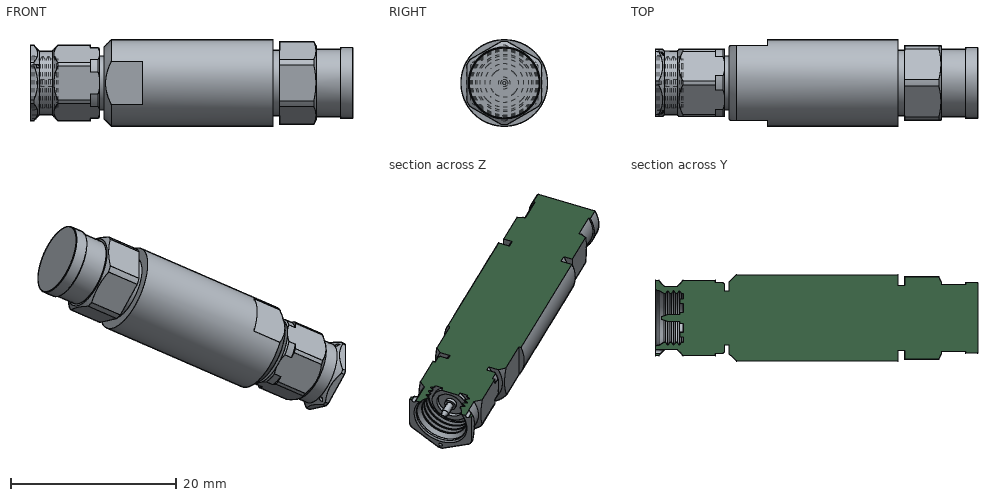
import cadquery as cq
import math

LENGTH = 39.05

COLLAR_FLAT_END = 0.43
COLLAR_END = 1.1
NUT_NECK_RADIUS = 3.85

NUT_FLATS = 8.15
NUT_CORNER_RADIUS = 4.55
NUT_START = 2.65
NUT_TAPER_END = 3.3
NUT_STEP_X = 7.25
NUT_STEP_RADIUS = 4.3
NUT_END = 8.4
NUT_END_CHAMFER = 0.2

WIRE_HOLE_RADIUS = 0.215
WIRE_HOLE_CIRCLE_RADIUS = 4.05
WIRE_HOLE_ANGLES = (30, 150, 270)

BARREL_START = 8.9
BARREL_DIAMETER = 10.5
BARREL_RADIUS = BARREL_DIAMETER / 2
BARREL_CHAMFER = 0.9
BARREL_END = 29.35
BARREL_FLATS = 9.1
BARREL_FLAT_END = 13.55
FRONT_NECK_RADIUS = 3.28

REAR_NECK_RADIUS = 4.0
REAR_HEX_START = 30.15
REAR_HEX_END = 34.65
REAR_HEX_FLATS = 9.05
REAR_HEX_CORNER_DIAMETER = 10.05
REAR_HEX_CORNER_RADIUS = REAR_HEX_CORNER_DIAMETER / 2
REAR_HEX_TAPER_LENGTH = 0.35
REAR_HEX_TAPER_DROP = 0.65
SLEEVE_RADIUS = 4.1
RIM_START = 37.53
RIM_RADIUS = 4.3
RIM_CHAMFER = 0.08

MOUTH_RADIUS = 3.48
MOUTH_CHAMFER = 0.2
LEAD_IN_START = 0.45
THREAD_START = 1.05
THREAD_CREST_RADIUS = 2.93
THREAD_DEPTH = 0.35
THREAD_PITCH = 0.7
THREAD_CREST_WIDTH = 0.2
THREAD_GROOVES = 3
SOCKET_DEPTH = THREAD_START + THREAD_GROOVES * THREAD_PITCH + THREAD_CREST_WIDTH

CONTACT_SLEEVE_START = 2.93
CONTACT_SLEEVE_RADIUS = 2.35
CONTACT_BORE_RADIUS = 1.7

PIN_START = 0.75
PIN_TIP_RADIUS = 0.2
PIN_SHOULDER = 1.4
PIN_RADIUS = 0.43
PIN_BASE_START = 2.93
PIN_BASE_RADIUS = 0.7


def revolve_profile(points):
    """Turn a list of (x, radius) points into a solid around the X axis."""
    closed = [(points[0][0], 0)] + points + [(points[-1][0], 0)]
    return cq.Workplane("XZ").polyline(closed).close().revolve(360, (0, 0, 0), (1, 0, 0))


def hex_bar(start, end, flats):
    """Hexagonal bar along X with two faces square to Y and corners on the Z axis."""
    corner_diameter = flats / math.cos(math.pi / 6)
    bar = cq.Workplane("YZ", origin=(start, 0, 0)).polygon(6, corner_diameter).extrude(end - start)
    return bar.rotate((0, 0, 0), (1, 0, 0), 30)


def cylinder(start, end, radius):
    return revolve_profile([(start, radius), (end, radius)])


def front_nut():
    blank = revolve_profile([
        (0, NUT_CORNER_RADIUS),
        (COLLAR_FLAT_END, NUT_CORNER_RADIUS),
        (COLLAR_END, NUT_NECK_RADIUS),
        (NUT_START, NUT_NECK_RADIUS),
        (NUT_TAPER_END, NUT_CORNER_RADIUS),
        (NUT_STEP_X, NUT_CORNER_RADIUS),
        (NUT_STEP_X, NUT_STEP_RADIUS),
        (NUT_END - NUT_END_CHAMFER, NUT_STEP_RADIUS),
        (NUT_END, NUT_STEP_RADIUS - NUT_END_CHAMFER),
    ])
    nut = blank.intersect(hex_bar(0, NUT_END, NUT_FLATS))
    for angle in WIRE_HOLE_ANGLES:
        hole = cylinder(0, COLLAR_END, WIRE_HOLE_RADIUS).translate((0, WIRE_HOLE_CIRCLE_RADIUS, 0))
        nut = nut.cut(hole.rotate((0, 0, 0), (1, 0, 0), angle))
    return nut


def barrel():
    body = cylinder(BARREL_START, BARREL_END, BARREL_RADIUS).faces("<X").chamfer(BARREL_CHAMFER)
    flat_length = BARREL_FLAT_END - BARREL_START
    cutter_width = BARREL_DIAMETER
    for side in (-1, 1):
        flat = cq.Workplane("XY").box(flat_length, cutter_width, cutter_width).translate((
            BARREL_START + flat_length / 2,
            side * (BARREL_FLATS + cutter_width) / 2,
            0,
        ))
        body = body.cut(flat)
    return body


def rear_hex():
    blank = revolve_profile([
        (REAR_HEX_START, REAR_HEX_CORNER_RADIUS),
        (REAR_HEX_END - REAR_HEX_TAPER_LENGTH, REAR_HEX_CORNER_RADIUS),
        (REAR_HEX_END, REAR_HEX_CORNER_RADIUS - REAR_HEX_TAPER_DROP),
    ])
    return blank.intersect(hex_bar(REAR_HEX_START, REAR_HEX_END, REAR_HEX_FLATS))


def rear_sleeve():
    sleeve = cylinder(REAR_HEX_END, RIM_START, SLEEVE_RADIUS)
    rim = cylinder(RIM_START, LENGTH, RIM_RADIUS).faces(">X").chamfer(RIM_CHAMFER)
    return sleeve.union(rim)


def socket():
    lead_in_radius = MOUTH_RADIUS - MOUTH_CHAMFER
    profile = [
        (0, MOUTH_RADIUS),
        (MOUTH_CHAMFER, lead_in_radius),
        (LEAD_IN_START, lead_in_radius),
        (THREAD_START, THREAD_CREST_RADIUS),
    ]
    for groove in range(THREAD_GROOVES):
        crest_start = THREAD_START + groove * THREAD_PITCH
        crest_end = crest_start + THREAD_CREST_WIDTH
        next_crest = crest_start + THREAD_PITCH
        profile += [
            (crest_end, THREAD_CREST_RADIUS),
            ((crest_end + next_crest) / 2, THREAD_CREST_RADIUS + THREAD_DEPTH),
            (next_crest, THREAD_CREST_RADIUS),
        ]
    profile.append((SOCKET_DEPTH, THREAD_CREST_RADIUS))
    return revolve_profile(profile)


def contact_sleeve():
    return cylinder(CONTACT_SLEEVE_START, SOCKET_DEPTH, CONTACT_SLEEVE_RADIUS)


def contact_bore():
    return cylinder(CONTACT_SLEEVE_START, SOCKET_DEPTH, CONTACT_BORE_RADIUS)


def centre_pin():
    return revolve_profile([
        (PIN_START, PIN_TIP_RADIUS),
        (PIN_SHOULDER, PIN_RADIUS),
        (PIN_BASE_START, PIN_RADIUS),
        (PIN_BASE_START, PIN_BASE_RADIUS),
        (SOCKET_DEPTH, PIN_BASE_RADIUS),
    ])


shell = (
    front_nut()
    .union(cylinder(NUT_END, BARREL_START, FRONT_NECK_RADIUS))
    .union(barrel())
    .union(cylinder(BARREL_END, REAR_HEX_START, REAR_NECK_RADIUS))
    .union(rear_hex())
    .union(rear_sleeve())
)

result = (
    shell
    .cut(socket())
    .union(contact_sleeve())
    .cut(contact_bore())
    .union(centre_pin())
)